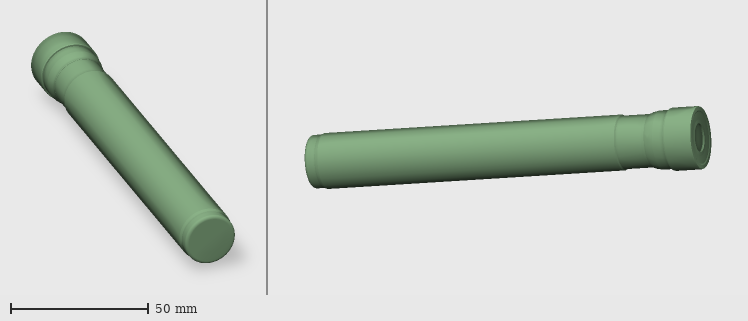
import cadquery as cq

total_length = 150.0

head_diameter = 23.1
head_length = 10.6
rim_bevel_length = 0.52
rim_bevel_depth = 0.1
collar_diameter = 21.6
collar_end = 15.0
collar_bevel_length = 0.5
collar_bevel_depth = 0.07
shoulder_end = 18.6
shoulder_bulge = 0.18
land_diameter = 19.6
land_end = 19.5
neck_diameter = 19.5

bevel_diameter = 20.0
bevel_depth = 0.22
dish_diameter = 19.0
dish_depth = 0.22
ring_diameter = 13.2
pocket_diameter = 10.5
pocket_depth = 0.7

tube_start = 29.5
tube_diameter = 20.4
tube_front_chamfer = 0.5
barrel_end = 144.6
rear_diameter = 19.5
rear_start = 146.0
rear_fillet = 1.2


def revolve_about_x(profile):
    """Close a profile drawn as (x, radius) and turn it about the X axis."""
    return profile.close().revolve(360, (0, 0, 0), (1, 0, 0))


def make_head_blank():
    """Solid head and neck, before the front face is recessed."""
    head_radius = head_diameter / 2
    rim_edge_radius = head_radius - rim_bevel_depth
    shoulder_start = collar_end + collar_bevel_length
    shoulder_radius = collar_diameter / 2 - collar_bevel_depth
    land_radius = land_diameter / 2
    shoulder_middle = (
        (shoulder_start + shoulder_end) / 2,
        (shoulder_radius + land_radius) / 2 + shoulder_bulge,
    )
    profile = (
        cq.Workplane("XY")
        .lineTo(0, rim_edge_radius)
        .lineTo(rim_bevel_length, head_radius)
        .lineTo(head_length - rim_bevel_length, head_radius)
        .lineTo(head_length, rim_edge_radius)
        .lineTo(head_length, collar_diameter / 2)
        .lineTo(collar_end, collar_diameter / 2)
        .lineTo(shoulder_start, shoulder_radius)
        .threePointArc(shoulder_middle, (shoulder_end, land_radius))
        .lineTo(land_end, land_radius)
        .lineTo(land_end, neck_diameter / 2)
        .lineTo(tube_start, neck_diameter / 2)
        .lineTo(tube_start, 0)
    )
    return revolve_about_x(profile)


def make_face_recess():
    """Shape removed from the front face of the head."""
    ring_x = bevel_depth + dish_depth
    pocket_x = ring_x + pocket_depth
    profile = (
        cq.Workplane("XY")
        .lineTo(0, bevel_diameter / 2)
        .lineTo(bevel_depth, dish_diameter / 2)
        .lineTo(ring_x, ring_diameter / 2)
        .lineTo(ring_x, pocket_diameter / 2)
        .lineTo(pocket_x, pocket_diameter / 2)
        .lineTo(pocket_x, 0)
    )
    return revolve_about_x(profile)


def make_tube():
    tube_radius = tube_diameter / 2
    profile = (
        cq.Workplane("XY")
        .moveTo(tube_start, 0)
        .lineTo(tube_start, tube_radius - tube_front_chamfer)
        .lineTo(tube_start + tube_front_chamfer, tube_radius)
        .lineTo(barrel_end, tube_radius)
        .lineTo(rear_start, rear_diameter / 2)
        .lineTo(total_length, rear_diameter / 2)
        .lineTo(total_length, 0)
    )
    return revolve_about_x(profile).faces(">X").edges().fillet(rear_fillet)


head = make_head_blank().cut(make_face_recess())
tube = make_tube()
result = cq.Compound.makeCompound([head.val(), tube.val()])